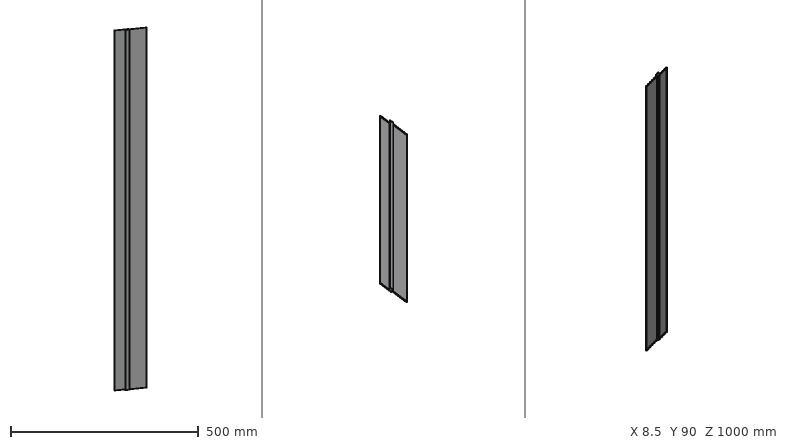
import cadquery as cq

length = 1000.0
depth = 90.0
width = 8.5

panel_thickness = 2.0
lip_thickness = 1.0
back_panel_depth = 50.0
bridge_thickness = 10.0
lip_depth = 12.0

left = -width / 2
right = width / 2
back = depth / 2
front = -depth / 2
shoulder = back - back_panel_depth
groove_floor = shoulder - bridge_thickness
lip_end = shoulder - lip_depth


def strip(x_min, x_max, y_min, y_max):
    """Full-length bar, centred on Z, spanning the given X and Y limits."""
    return (
        cq.Workplane("XY")
        .box(x_max - x_min, y_max - y_min, length, centered=(False, False, True))
        .translate((x_min, y_min, 0))
    )


back_panel = strip(-panel_thickness / 2, panel_thickness / 2, shoulder, back)
bridge = strip(left, right, groove_floor, shoulder)
front_panel = strip(left, left + panel_thickness, front, shoulder)
lip = strip(right - lip_thickness, right, lip_end, shoulder)

result = bridge.union(back_panel).union(front_panel).union(lip).clean()